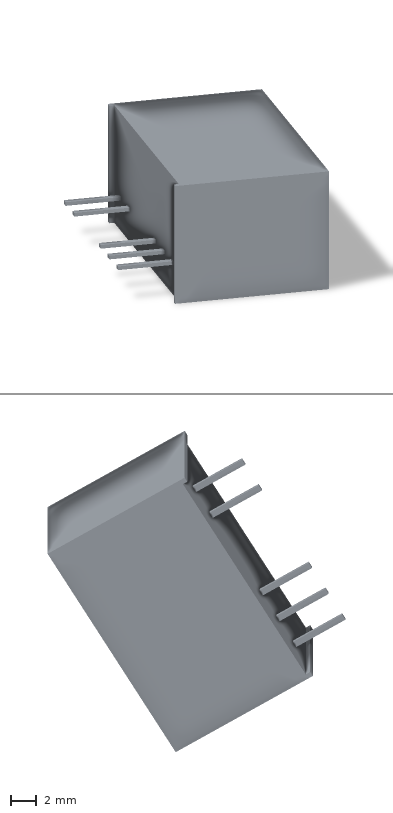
import cadquery as cq

body_width = 19.5
body_height = 9.8
body_depth = 12.5

rail_width = 0.4
rail_depth = 0.4

pin_pitch = 2.54
pin_positions = (-3, -2, 1, 2, 3)
pin_width = 0.5
pin_thickness = 0.3
pin_reach = 4.1
pin_height = 2.7

rail_end_y = -body_depth / 2
pin_face_y = rail_end_y + rail_depth
pin_length = pin_reach + rail_depth


def make_body():
    """Rectangular block with its pin face recessed between two side rails."""
    block = cq.Workplane("XY").box(body_width, body_depth, body_height, centered=(True, True, False))
    recess = (
        cq.Workplane("XY")
        .box(body_width - 2 * rail_width, rail_depth, body_height, centered=(True, False, False))
        .translate((0, rail_end_y, 0))
    )
    return block.cut(recess)


def make_pin(position):
    """Straight flat pin standing on the recessed face."""
    return (
        cq.Workplane("XZ", origin=(position * pin_pitch, pin_face_y, pin_height))
        .rect(pin_width, pin_thickness)
        .extrude(pin_length)
    )


result = make_body()
for pin_position in pin_positions:
    result = result.union(make_pin(pin_position))